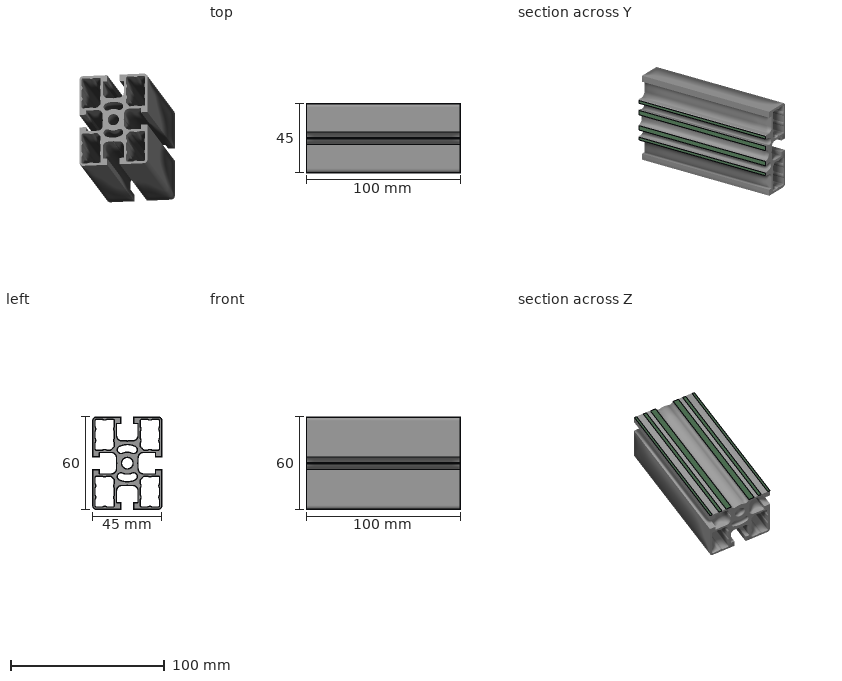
import cadquery as cq
import math

LENGTH = 100.0
WIDTH = 45.0
HEIGHT = 60.0
OUTER_RADIUS = 2.5

SLOT_OPENING = 8.3
SLOT_WIDTH = 13.8
LIP_THICKNESS = 4.3
SLOT_DEPTH = 15.4
SLOT_CORNER_RADIUS = 3.3
GROOVE_WIDTH = 1.0
GROOVE_BOTTOM_WIDTH = 0.3
GROOVE_DEPTH = 0.35

WALL = 1.6
CHAMBER_FILLET = 0.7
CHAMBER_CHAMFER = 2.2

RIDGE_WIDTH = 2.8
RIDGE_HEIGHT = 0.48
RIDGE_PITCH = 7.5

BORE_DIAMETER = 7.4
CURVED_SLOT_INNER_RADIUS = 7.2
CURVED_SLOT_OUTER_RADIUS = 12.0
CURVED_SLOT_HALF_ANGLE = 25.0

HALF_WIDTH = WIDTH / 2
HALF_HEIGHT = HEIGHT / 2
CHAMBER_INNER = SLOT_WIDTH / 2 + WALL
CHAMBER_OUTER_Y = HALF_WIDTH - WALL
CHAMBER_OUTER_Z = HALF_HEIGHT - WALL
CHAMBER_MID_Y = (CHAMBER_INNER + CHAMBER_OUTER_Y) / 2
CHAMBER_MID_Z = (CHAMBER_INNER + CHAMBER_OUTER_Z) / 2


def section():
    """Sketch plane with local x along Y and local y along Z."""
    return cq.Workplane("YZ")


def outer_block():
    block = section().rect(WIDTH, HEIGHT).extrude(LENGTH)
    return block.edges("|X").fillet(OUTER_RADIUS)


def t_slot(half_size):
    """T-slot cutter entering from the +Z side at the given distance from the centre."""
    floor = half_size - SLOT_DEPTH
    opening = (
        section()
        .center(0, half_size - LIP_THICKNESS / 2)
        .rect(SLOT_OPENING, LIP_THICKNESS)
        .extrude(LENGTH)
    )
    cavity_height = SLOT_DEPTH - LIP_THICKNESS
    cavity = (
        section()
        .center(0, floor + cavity_height / 2)
        .rect(SLOT_WIDTH, cavity_height)
        .extrude(LENGTH)
        .edges("|X and <Z")
        .fillet(SLOT_CORNER_RADIUS)
    )
    groove = (
        section()
        .moveTo(-GROOVE_WIDTH / 2, floor)
        .lineTo(-GROOVE_BOTTOM_WIDTH / 2, floor - GROOVE_DEPTH)
        .lineTo(GROOVE_BOTTOM_WIDTH / 2, floor - GROOVE_DEPTH)
        .lineTo(GROOVE_WIDTH / 2, floor)
        .close()
        .extrude(LENGTH)
    )
    return cavity.union(opening).union(groove)


def follow_ridge(path, along, into, middle):
    """Follow a wall over the ridge centred on middle; along and into are unit directions."""
    half = RIDGE_WIDTH / 2
    foot = (middle[0] - along[0] * half, middle[1] - along[1] * half)
    crest = (middle[0] + into[0] * RIDGE_HEIGHT, middle[1] + into[1] * RIDGE_HEIGHT)
    end = (middle[0] + along[0] * half, middle[1] + along[1] * half)
    return path.lineTo(*foot).threePointArc(crest, end)


def chamber():
    """Hollow chamber of the +Y +Z corner, its outline run counter-clockwise."""
    lower_ridge_z = CHAMBER_MID_Z - RIDGE_PITCH / 2
    upper_ridge_z = CHAMBER_MID_Z + RIDGE_PITCH / 2
    path = section().moveTo(CHAMBER_INNER + CHAMBER_CHAMFER, CHAMBER_INNER)
    path = follow_ridge(path, (1, 0), (0, 1), (CHAMBER_MID_Y, CHAMBER_INNER))
    path = path.lineTo(CHAMBER_OUTER_Y - CHAMBER_FILLET, CHAMBER_INNER)
    path = path.tangentArcPoint((CHAMBER_FILLET, CHAMBER_FILLET))
    for z in (lower_ridge_z, upper_ridge_z):
        path = follow_ridge(path, (0, 1), (-1, 0), (CHAMBER_OUTER_Y, z))
    path = path.lineTo(CHAMBER_OUTER_Y, CHAMBER_OUTER_Z - CHAMBER_FILLET)
    path = path.tangentArcPoint((-CHAMBER_FILLET, CHAMBER_FILLET))
    path = follow_ridge(path, (-1, 0), (0, -1), (CHAMBER_MID_Y, CHAMBER_OUTER_Z))
    path = path.lineTo(CHAMBER_INNER + CHAMBER_FILLET, CHAMBER_OUTER_Z)
    path = path.tangentArcPoint((-CHAMBER_FILLET, -CHAMBER_FILLET))
    for z in (upper_ridge_z, lower_ridge_z):
        path = follow_ridge(path, (0, -1), (1, 0), (CHAMBER_INNER, z))
    path = path.lineTo(CHAMBER_INNER, CHAMBER_INNER + CHAMBER_CHAMFER).close()
    return path.extrude(LENGTH)


def polar(radius, degrees_from_z):
    angle = math.radians(degrees_from_z)
    return (radius * math.sin(angle), radius * math.cos(angle))


def curved_slot():
    """Round-ended slot above the bore, bent about the centre of the section."""
    inner = CURVED_SLOT_INNER_RADIUS
    outer = CURVED_SLOT_OUTER_RADIUS
    end_angle = CURVED_SLOT_HALF_ANGLE
    mid = (inner + outer) / 2
    end_radius = (outer - inner) / 2
    centre = polar(mid, end_angle)
    bulge = polar(end_radius, end_angle + 90)
    tip = (centre[0] + bulge[0], centre[1] + bulge[1])
    return (
        section()
        .moveTo(*polar(outer, -end_angle))
        .threePointArc(polar(outer, 0), polar(outer, end_angle))
        .threePointArc(tip, polar(inner, end_angle))
        .threePointArc(polar(inner, 0), polar(inner, -end_angle))
        .threePointArc((-tip[0], tip[1]), polar(outer, -end_angle))
        .close()
        .extrude(LENGTH)
    )


def turned(cutter, degrees):
    return cutter.rotate((0, 0, 0), (1, 0, 0), degrees)


def build():
    profile = outer_block()
    profile = profile.cut(section().circle(BORE_DIAMETER / 2).extrude(LENGTH))
    for angle in (0, 180):
        profile = profile.cut(turned(t_slot(HALF_HEIGHT), angle))
        profile = profile.cut(turned(t_slot(HALF_WIDTH), angle + 90))
        profile = profile.cut(turned(curved_slot(), angle))
        profile = profile.cut(turned(chamber(), angle))
        profile = profile.cut(turned(chamber().mirror("XZ"), angle))
    return profile


result = build().translate((-LENGTH / 2, 0, 0))